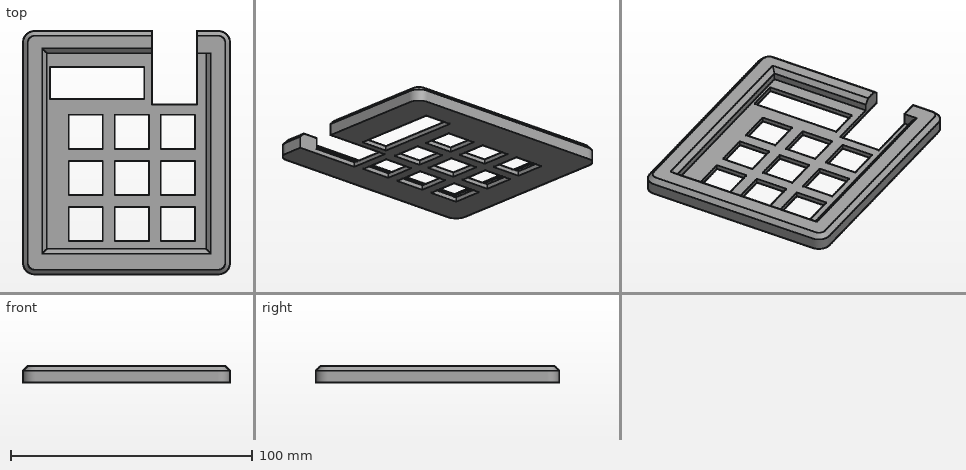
import cadquery as cq

width = 86.0
length = 101.0
height = 7.0
corner_radius = 4.9
bevel = 2.0

left = -width / 2
front = -length / 2
back = length / 2

floor_thickness = 2.0
tray_side_rim = 8.0
tray_back_rim = 7.3
tray_front_rim = 8.7

notch_left = left + 53.6
notch_right = notch_left + 18.5
notch_front = back - 30.5

window_width = 39.0
window_length = 13.1
window_left = left + 11.3
window_back = back - 15.0

key_size = 14.0
key_pitch = 19.1
key_rows = 3
key_columns = 3
first_key_left = left + 19.1
first_key_front = front + 13.9


def block(x_min, x_max, y_min, y_max, z_min, z_max):
    """Box given by its limits along each axis."""
    return cq.Workplane("XY").box(
        x_max - x_min, y_max - y_min, z_max - z_min, centered=False
    ).translate((x_min, y_min, z_min))


def make_body():
    """Slab with rounded corners and a bevelled top edge."""
    slab = block(left, -left, front, back, 0, height)
    return slab.edges("|Z").fillet(corner_radius).faces(">Z").edges().chamfer(bevel)


def make_tray():
    """Tray cavity whose mouth flares outward by the bevel on all four sides."""
    x_mouth = -left - tray_side_rim
    y_front = front + tray_front_rim
    y_back = back - tray_back_rim
    mouth_width = 2 * x_mouth
    mouth_length = y_back - y_front
    y_centre = (y_front + y_back) / 2
    flare = (
        cq.Workplane("XY", origin=(0, y_centre, height))
        .rect(mouth_width, mouth_length)
        .workplane(offset=-bevel)
        .rect(mouth_width - 2 * bevel, mouth_length - 2 * bevel)
        .loft(ruled=True)
    )
    well = block(
        -x_mouth + bevel, x_mouth - bevel,
        y_front + bevel, y_back - bevel,
        floor_thickness, height - bevel,
    )
    plumb_wall = block(notch_right, x_mouth, y_back - bevel, y_back, floor_thickness, height)
    return flare.union(well).cut(plumb_wall)


def make_key_openings():
    """Grid of square through openings in the floor."""
    openings = cq.Workplane("XY")
    for row in range(key_rows):
        for column in range(key_columns):
            x = first_key_left + column * key_pitch
            y = first_key_front + row * key_pitch
            openings = openings.union(block(x, x + key_size, y, y + key_size, 0, height))
    return openings


notch = block(notch_left, notch_right, notch_front, back, 0, height)
window = block(
    window_left, window_left + window_width,
    window_back - window_length, window_back,
    0, height,
)

result = make_body().cut(make_tray()).cut(notch).cut(window).cut(make_key_openings())